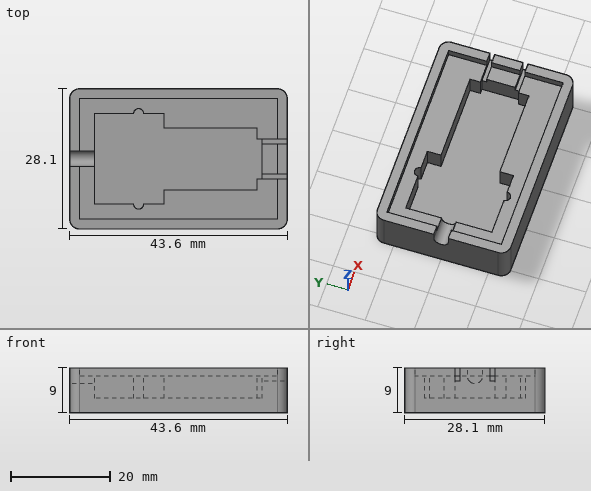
import cadquery as cq

length = 43.6
width = 28.15
height = 9.0
corner_radius = 2.0

rim_wall = 2.0
recess_depth = 1.6

pocket_depth = 6.0
pocket_start = 5.0
wide_end = 18.9
narrow_end = 37.5
wide_width = 18.15
narrow_width = 12.4
relief_radius = 1.0
relief_x = 13.82

channel_radius = 1.53
channel_axis_depth = 1.6

slot_width = 1.0
slot_depth = 2.6
tongue_width = 6.0
tongue_gap = 1.0

left = -length / 2
notch_width = tongue_width + 2 * slot_width
tongue_start = narrow_end + tongue_gap


def top_cut(start, end, cut_width, depth, center_y=0.0):
    """Box sunk from the top face, spanning start to end from the -X side."""
    return (
        cq.Workplane("XY", origin=(left + (start + end) / 2, center_y, height - depth))
        .rect(end - start, cut_width)
        .extrude(depth)
    )


body = cq.Workplane("XY").box(length, width, height, centered=(True, True, False))
body = body.edges("|Z").fillet(corner_radius)

body = body.cut(top_cut(rim_wall, length - rim_wall, width - 2 * rim_wall, recess_depth))

body = body.cut(top_cut(pocket_start, wide_end, wide_width, pocket_depth))
body = body.cut(top_cut(wide_end, narrow_end, narrow_width, pocket_depth))
body = body.cut(top_cut(narrow_end, tongue_start, notch_width, pocket_depth))

reliefs = (
    cq.Workplane("XY", origin=(left + relief_x, 0, height - pocket_depth))
    .pushPoints([(0, side * wide_width / 2) for side in (-1, 1)])
    .circle(relief_radius)
    .extrude(pocket_depth)
)
body = body.cut(reliefs)

for side in (-1, 1):
    slot_y = side * (tongue_width + slot_width) / 2
    body = body.cut(top_cut(tongue_start, length, slot_width, slot_depth, slot_y))

channel_bottom = (
    cq.Workplane("YZ", origin=(left, 0, height - channel_axis_depth))
    .circle(channel_radius)
    .extrude(pocket_start)
)
channel_top = top_cut(0, pocket_start, 2 * channel_radius, channel_axis_depth)
result = body.cut(channel_bottom).cut(channel_top)